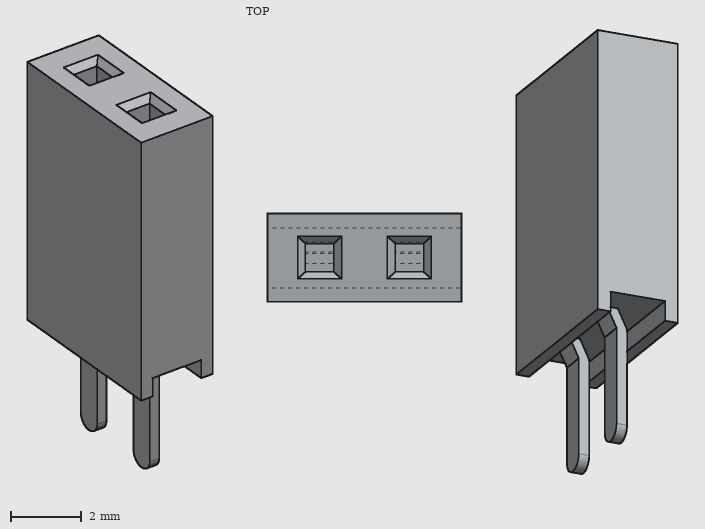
import cadquery as cq


body_length = 5.49
body_width = 2.5
body_height = 8.5
foot_thickness = 0.4
channel_height = 0.6

contact_count = 2
contact_pitch = 2.54

socket_size = 0.8
socket_depth = 6.0
lead_in_depth = 0.2
mouth_length = 1.24
mouth_width = 1.2

pin_width = 0.8
pin_thickness = 0.33
pin_length = 3.3
pin_offset = 0.29


def make_body():
    """Block with a channel along X underneath, leaving a foot on each side."""
    block = cq.Workplane("XY").box(body_length, body_width, body_height, centered=(True, True, False))
    channel_width = body_width - 2 * foot_thickness
    channel = cq.Workplane("XY").box(
        body_length, channel_width, channel_height, centered=(True, True, False)
    )
    return block.cut(channel)


def make_socket(x):
    """Blind square hole with a tapered lead-in at the top face."""
    hole = (
        cq.Workplane("XY", origin=(x, 0, body_height))
        .rect(socket_size, socket_size)
        .extrude(-socket_depth)
    )
    lead_in = (
        cq.Workplane("XY", origin=(x, 0, body_height))
        .rect(mouth_length, mouth_width)
        .workplane(offset=-lead_in_depth)
        .rect(socket_size, socket_size)
        .loft(ruled=True)
    )
    return hole.union(lead_in)


def make_pin(x):
    """Flat pin, cranked inside the channel and rounded at the tip."""
    half_thickness = pin_thickness / 2
    side_profile = [
        (-half_thickness, -pin_length),
        (half_thickness, -pin_length),
        (half_thickness, 0),
        (half_thickness + pin_offset, channel_height),
        (-half_thickness + pin_offset, channel_height),
        (-half_thickness, 0),
    ]
    pin = (
        cq.Workplane("YZ", origin=(x, 0, 0))
        .polyline(side_profile)
        .close()
        .extrude(pin_width / 2, both=True)
    )
    tip_radius = pin_width / 2
    shoulder_z = tip_radius - pin_length
    rounded_outline = (
        cq.Workplane("XZ", origin=(x, 0, 0))
        .moveTo(-tip_radius, channel_height)
        .lineTo(-tip_radius, shoulder_z)
        .threePointArc((0, -pin_length), (tip_radius, shoulder_z))
        .lineTo(tip_radius, channel_height)
        .close()
        .extrude(body_width / 2, both=True)
    )
    return pin.intersect(rounded_outline)


result = make_body()
for index in range(contact_count):
    contact_x = (index - (contact_count - 1) / 2) * contact_pitch
    result = result.cut(make_socket(contact_x)).union(make_pin(contact_x))